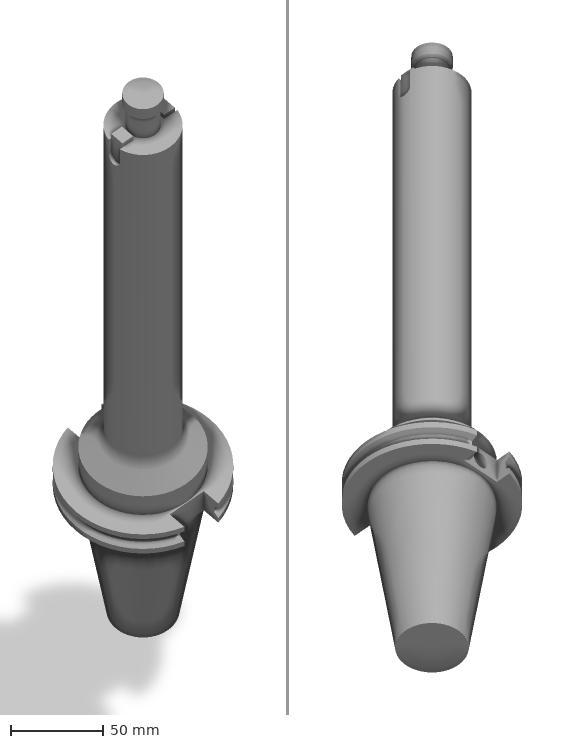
import cadquery as cq
import math

total_height = 433.2
gauge_height = 101.5
flange_gap = 3.5
flange_thickness = 16.0
collar_height = 15.5
shaft_top = 407.0
screw_head_height = 9.5
pilot_top = total_height - screw_head_height
flange_bottom = gauge_height + flange_gap
flange_top = flange_bottom + flange_thickness
collar_top = flange_top + collar_height

shaft_diameter = 43.0
taper_end_radius = 20.0
taper_large_radius = 35.0
flange_radius = 49.0
groove_floor_radius = 45.5
shaft_radius = shaft_diameter / 2
pilot_radius = 9.5

groove_half_floor = 2.0
groove_half_angle = 30.0
groove_middle = flange_bottom + flange_thickness / 2
groove_half_mouth = (
    groove_half_floor
    + (flange_radius - groove_floor_radius) * math.tan(math.radians(groove_half_angle))
)

blend_radius = 11.0
blend_diagonal = blend_radius * math.sqrt(0.5)
blend_low_radius = shaft_radius + blend_radius - blend_diagonal
blend_low_height = collar_top + taper_large_radius - blend_low_radius
blend_high_height = blend_low_height + blend_diagonal
blend_mid_angle = math.radians(22.5)
blend_mid_radius = shaft_radius + blend_radius * (1 - math.cos(blend_mid_angle))
blend_mid_height = blend_high_height - blend_radius * math.sin(blend_mid_angle)

drive_slot_width = 24.5
left_slot_floor = 37.5
right_slot_floor = 35.5

chip_hole_diameter = 10.0
chip_hole_depth = 4.8

key_width = 9.0
key_top = 410.5
key_bottom = 391.0
key_inner = 11.3
key_outer = 19.0

screw_head_diameter = 22.5
screw_head_chamfer = 1.5


def drive_slot(floor, side):
    """Box that cuts one drive slot, on the given side of X (+1 or -1)."""
    depth = flange_radius - floor
    return (
        cq.Workplane("XY", origin=(side * (floor + depth / 2), 0, flange_bottom))
        .box(depth, drive_slot_width, flange_thickness, centered=(True, True, False))
    )


def key_block(side, outer):
    """Upright block with a round lower end, from the key's inner face to outer."""
    half_width = key_width / 2
    arc_center = key_bottom + half_width
    block = (
        cq.Workplane("XZ", origin=(0, -key_inner, 0))
        .moveTo(-half_width, key_top)
        .lineTo(-half_width, arc_center)
        .threePointArc((0, key_bottom), (half_width, arc_center))
        .lineTo(half_width, key_top)
        .close()
        .extrude(outer - key_inner)
    )
    return block if side < 0 else block.mirror("XZ")


def make_holder():
    """Taper, grooved flange, collar, long shaft and pilot as one turned body."""
    holder = (
        cq.Workplane("XZ")
        .lineTo(taper_end_radius, 0)
        .lineTo(taper_large_radius, gauge_height)
        .lineTo(taper_large_radius, flange_bottom)
        .lineTo(flange_radius, flange_bottom)
        .lineTo(flange_radius, groove_middle - groove_half_mouth)
        .lineTo(groove_floor_radius, groove_middle - groove_half_floor)
        .lineTo(groove_floor_radius, groove_middle + groove_half_floor)
        .lineTo(flange_radius, groove_middle + groove_half_mouth)
        .lineTo(flange_radius, flange_top)
        .lineTo(taper_large_radius, flange_top)
        .lineTo(taper_large_radius, collar_top)
        .lineTo(blend_low_radius, blend_low_height)
        .threePointArc((blend_mid_radius, blend_mid_height), (shaft_radius, blend_high_height))
        .lineTo(shaft_radius, shaft_top)
        .lineTo(pilot_radius, shaft_top)
        .lineTo(pilot_radius, pilot_top)
        .lineTo(0, pilot_top)
        .close()
        .revolve(360, (0, 0, 0), (0, 1, 0))
    )
    holder = holder.cut(drive_slot(left_slot_floor, -1)).cut(drive_slot(right_slot_floor, 1))
    chip_hole = (
        cq.Workplane("YZ", origin=(-left_slot_floor, 0, groove_middle))
        .circle(chip_hole_diameter / 2)
        .extrude(chip_hole_depth)
    )
    holder = holder.cut(chip_hole)
    for side in (-1, 1):
        holder = holder.cut(key_block(side, shaft_radius))
    return holder


def make_key(side):
    """Drive key that sits in the inner part of its shaft slot."""
    return key_block(side, key_outer)


def make_screw_head():
    """Retaining screw head resting on the pilot, chamfered underneath."""
    return (
        cq.Workplane("XY", origin=(0, 0, pilot_top))
        .circle(screw_head_diameter / 2)
        .extrude(screw_head_height)
        .faces("<Z")
        .chamfer(screw_head_chamfer)
    )


holder = make_holder()
keys = [make_key(side) for side in (-1, 1)]
screw_head = make_screw_head()

result = cq.Compound.makeCompound([holder.val(), *[key.val() for key in keys], screw_head.val()])